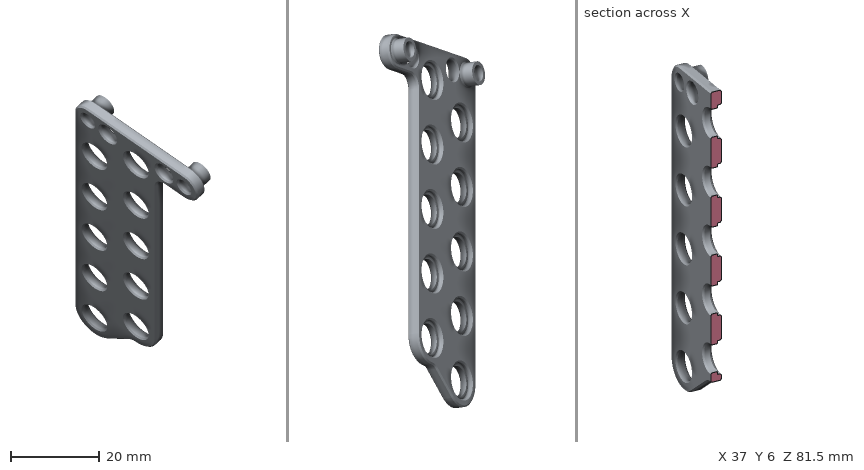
import cadquery as cq
import math

plate_length = 81.5
arm_width = 37.0
plate_thickness = 2.85
overall_depth = 6.0
lobe_radius = 6.0
corner_radius = 4.0
inner_fillet_radius = 3.0
lower_edge_angle = math.radians(38.9)

edge_chamfer = 0.37
foot_chamfer = 0.3

large_hole_diameter = 7.0
counterbore_diameter = 8.5
counterbore_depth = 1.1
column_spacing = 12.5
row_pitch = 15.0
holes_per_column = 5

medium_hole_diameter = 5.0
medium_hole_inset = 10.0
peg_diameter = 5.5
peg_hole_diameter = 3.75
peg_height = overall_depth - plate_thickness

left_lobe = (lobe_radius, lobe_radius)
right_lobe = (left_lobe[0] + column_spacing, left_lobe[1] + row_pitch / 2)
body_right = right_lobe[0] + lobe_radius
arm_bottom = plate_length - 2 * corner_radius
arm_axis_z = plate_length - corner_radius

large_holes = [
    (x, z + row * row_pitch) for x, z in (left_lobe, right_lobe) for row in range(holes_per_column)
]
medium_holes = [(x, arm_axis_z) for x in (medium_hole_inset, arm_width - medium_hole_inset)]
peg_centers = [(x, arm_axis_z) for x in (corner_radius, arm_width - corner_radius)]


def polar(center, radius, angle):
    """Point at the given angle on a circle."""
    return (center[0] + radius * math.cos(angle), center[1] + radius * math.sin(angle))


def section_plane(y):
    """XZ plane at the given Y; a negative extrusion runs toward +Y."""
    return cq.Workplane("XZ", origin=(0, y, 0))


def make_cylinders(centers, diameter, start_y, length):
    """Cylinders that run toward +Y from the given Y."""
    return section_plane(start_y).pushPoints(centers).circle(diameter / 2).extrude(-length)


def make_chamfer_cones(centers, diameter, chamfer, y, direction):
    """45 degree cones that start wide at the given Y and narrow to the diameter toward +Y (1) or -Y (-1)."""
    radius = diameter / 2
    start = cq.Vector(0, y, 0)
    cone = cq.Solid.makeCone(radius + chamfer, radius, chamfer, start, cq.Vector(0, direction, 0))
    cones = [cone.translate(cq.Vector(x, 0, z)) for x, z in centers]
    return cq.Workplane("XZ").newObject(cones).combine()


def make_plate():
    normal_angle = lower_edge_angle - math.pi / 2
    lobe_distance = math.hypot(column_spacing, row_pitch / 2)
    lobe_direction = math.atan2(row_pitch / 2, column_spacing)
    lobe_along = lobe_distance * math.cos(lobe_direction - lower_edge_angle)
    lobe_across = lobe_distance * math.sin(lower_edge_angle - lobe_direction)
    reach = lobe_radius + inner_fillet_radius
    edge_length = lobe_along - math.sqrt(reach**2 - (reach - lobe_across) ** 2)
    blend_center = polar(polar(left_lobe, reach, normal_angle), edge_length, lower_edge_angle)

    edge_start = polar(left_lobe, lobe_radius, normal_angle)
    edge_end = polar(edge_start, edge_length, lower_edge_angle)
    blend_angle = math.atan2(right_lobe[1] - blend_center[1], right_lobe[0] - blend_center[0])
    blend_middle = polar(blend_center, inner_fillet_radius, (normal_angle + math.pi + blend_angle) / 2)
    blend_end = polar(blend_center, inner_fillet_radius, blend_angle)
    left_lobe_middle = polar(left_lobe, lobe_radius, (normal_angle - math.pi) / 2)
    right_lobe_middle = polar(right_lobe, lobe_radius, (blend_angle - math.pi) / 2)

    upper_left_angle = math.radians(135)
    fillet_center = (body_right + inner_fillet_radius, arm_bottom - inner_fillet_radius)
    fillet_middle = polar(fillet_center, inner_fillet_radius, upper_left_angle)
    corner_middle = polar((corner_radius, arm_axis_z), corner_radius, upper_left_angle)
    arm_end_x = arm_width - corner_radius

    outline = (
        section_plane(0)
        .moveTo(0, left_lobe[1])
        .threePointArc(left_lobe_middle, edge_start)
        .lineTo(*edge_end)
        .threePointArc(blend_middle, blend_end)
        .threePointArc(right_lobe_middle, (body_right, right_lobe[1]))
        .lineTo(body_right, fillet_center[1])
        .threePointArc(fillet_middle, (fillet_center[0], arm_bottom))
        .lineTo(arm_end_x, arm_bottom)
        .threePointArc((arm_width, arm_axis_z), (arm_end_x, plate_length))
        .lineTo(corner_radius, plate_length)
        .threePointArc(corner_middle, (0, arm_axis_z))
        .close()
    )
    plate = outline.extrude(-plate_thickness)
    return plate.faces("<Y or >Y").edges().chamfer(edge_chamfer)


def add_pegs(body):
    """Round pegs on the back face, each with a small chamfered foot."""
    pegs = make_cylinders(peg_centers, peg_diameter, plate_thickness, peg_height)
    feet = make_chamfer_cones(peg_centers, peg_diameter, foot_chamfer, plate_thickness, 1)
    return body.union(pegs).union(feet)


def cut_holes(body, centers, diameter, depth):
    """Holes of the given depth from the front face, chamfered at the front."""
    body = body.cut(make_cylinders(centers, diameter, 0, depth))
    return body.cut(make_chamfer_cones(centers, diameter, edge_chamfer, 0, 1))


def chamfer_back(body, centers, diameter):
    """Chamfers around openings of the given diameter on the back face."""
    return body.cut(make_chamfer_cones(centers, diameter, edge_chamfer, plate_thickness, -1))


def cut_large_holes(body):
    body = cut_holes(body, large_holes, large_hole_diameter, plate_thickness)
    floor_y = plate_thickness - counterbore_depth
    body = body.cut(make_cylinders(large_holes, counterbore_diameter, floor_y, counterbore_depth))
    return chamfer_back(body, large_holes, counterbore_diameter)


def cut_medium_holes(body):
    body = cut_holes(body, medium_holes, medium_hole_diameter, plate_thickness)
    return chamfer_back(body, medium_holes, medium_hole_diameter)


result = add_pegs(make_plate())
result = cut_large_holes(result)
result = cut_medium_holes(result)
result = cut_holes(result, peg_centers, peg_hole_diameter, overall_depth).solids()